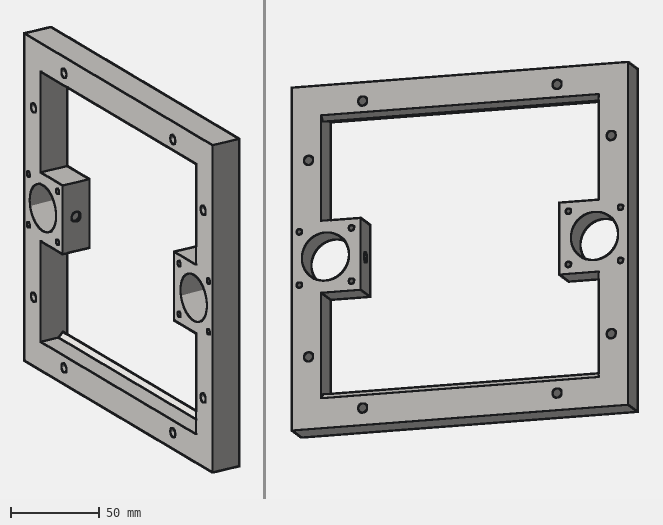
import cadquery as cq

frame_size = 200.0
frame_depth = 18.0
opening_size = 165.0
back_y = frame_depth / 2

bead_height = 3.0

mount_size = 42.0
mount_offset = 80.0
mount_inner_face = mount_offset - mount_size / 2
mount_width = frame_size / 2 - mount_inner_face
bore_diameter = 28.0
screw_spacing = 31.0
screw_diameter = 3.2

fixing_diameter = 5.5
fixing_edge = 90.0
fixing_side = 57.8
fixing_drop = 1.0

dimple_diameter = 6.0
dimple_depth = 1.5


def block(width, height, x=0.0, z=0.0):
    """Full-depth rectangular block centred at (x, z)."""
    return cq.Workplane("XY").box(width, frame_depth, height).translate((x, 0, z))


def through_holes(points, diameter):
    """Cylinders along Y through the full depth at the (x, z) points."""
    return (
        cq.Workplane("XZ", origin=(0, back_y, 0))
        .pushPoints(points)
        .circle(diameter / 2)
        .extrude(frame_depth)
    )


def bead(side):
    """V-shaped bead on the top (side = 1) or bottom (side = -1) rail."""
    rail_z = side * opening_size / 2
    return (
        cq.Workplane("YZ", origin=(-opening_size / 2, 0, 0))
        .moveTo(back_y - 2 * bead_height, rail_z)
        .lineTo(back_y - bead_height, rail_z - side * bead_height)
        .lineTo(back_y, rail_z)
        .close()
        .extrude(opening_size)
    )


def mount(side):
    """Solid mount block on the right (side = 1) or left (side = -1) rail, flush with the outside."""
    return block(mount_width, mount_size, side * (mount_inner_face + mount_width / 2))


def dimple(side):
    """Shallow round recess along X in the inner face of a mount."""
    return (
        cq.Workplane("YZ", origin=(side * mount_inner_face, 0, 0))
        .circle(dimple_diameter / 2)
        .extrude(side * dimple_depth)
    )


result = block(frame_size, frame_size).cut(block(opening_size, opening_size))

for side in (1, -1):
    result = result.union(bead(side))
    result = result.union(mount(side))

for side in (1, -1):
    centre = side * mount_offset
    half_spacing = screw_spacing / 2
    screws = [(centre + i * half_spacing, k * half_spacing) for i in (1, -1) for k in (1, -1)]
    result = result.cut(through_holes([(centre, 0)], bore_diameter))
    result = result.cut(through_holes(screws, screw_diameter))
    result = result.cut(dimple(side))

fixing_points = [
    (-fixing_side, fixing_edge),
    (-fixing_edge, fixing_side),
    (-fixing_edge, -fixing_side),
    (-fixing_side, -fixing_edge),
    (fixing_side, -fixing_edge),
    (fixing_edge, -fixing_side),
    (fixing_edge, fixing_side - fixing_drop),
    (fixing_side, fixing_edge - fixing_drop),
]
result = result.cut(through_holes(fixing_points, fixing_diameter))